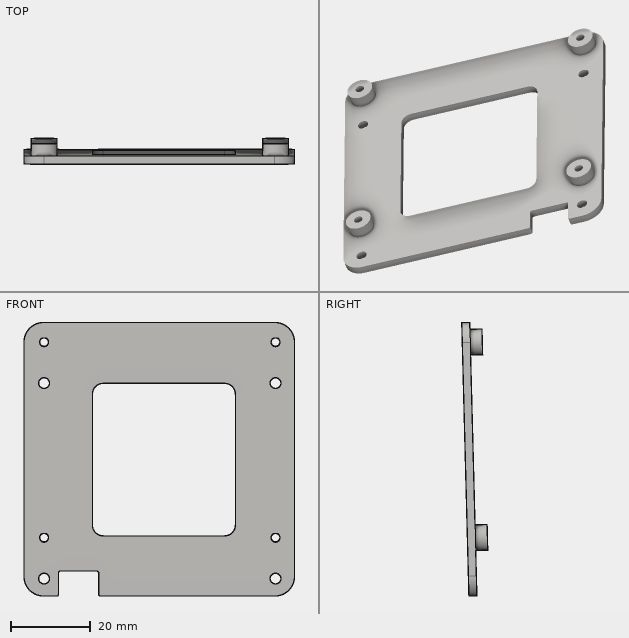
import cadquery as cq
import math

width = 67.85
overall_height = 68.6
thickness = 2.05
corner_radius = 5.0
tilt_angle = 1.5
tilt = math.radians(tilt_angle)
height = (overall_height - thickness * math.sin(tilt)) / math.cos(tilt)

window_width = 35.75
window_height = 38.2
window_left = 17.2
window_bottom = 15.1
window_radius = 2.7

notch_left = 8.7
notch_width = 10.0
notch_depth = 6.3
notch_radius = 0.5

hole_left = 5.1
hole_spacing_x = 57.95
hole_spacing_z = 49.0
standoff_bottom = 14.6
mounting_bottom = 4.4
standoff_hole_diameter = 2.2
mounting_hole_diameter = 2.7

standoff_diameter = 6.5
standoff_height = 3.0


def hole_pattern(bottom):
    """Four hole centres as (x, z), the lowest pair at the given height."""
    columns = (hole_left, hole_left + hole_spacing_x)
    rows = (bottom, bottom + hole_spacing_z)
    return [(x, z) for x in columns for z in rows]


def block(left, bottom, size_x, size_z):
    """Rectangular block through the plate thickness."""
    return cq.Workplane("XY").box(size_x, thickness, size_z, centered=False).translate((left, 0, bottom))


def cylinders(points, diameter, start, length):
    """Cylinders along +Y at the given (x, z) points, starting at Y = start."""
    plane = cq.Workplane("XZ").workplane(offset=-start)
    return plane.pushPoints(points).circle(diameter / 2).extrude(-length)


def make_plate():
    plate = block(0, 0, width, height).edges("|Y").fillet(corner_radius)
    window = block(window_left, window_bottom, window_width, window_height).edges("|Y").fillet(window_radius)
    notch = block(notch_left, 0, notch_width, notch_depth)
    plate = plate.cut(window).cut(notch)
    notch_zone = cq.selectors.BoxSelector(
        (notch_left - notch_radius, 0, -notch_radius),
        (notch_left + notch_width + notch_radius, thickness, notch_depth + notch_radius),
    )
    return plate.edges("|Y").edges(notch_zone).fillet(notch_radius)


standoff_points = hole_pattern(standoff_bottom)
mounting_points = hole_pattern(mounting_bottom)

body = make_plate().union(cylinders(standoff_points, standoff_diameter, thickness, standoff_height))
body = body.cut(cylinders(standoff_points, standoff_hole_diameter, 0, thickness + standoff_height))
body = body.cut(cylinders(mounting_points, mounting_hole_diameter, 0, thickness))

result = body.rotate((0, 0, 0), (1, 0, 0), tilt_angle)